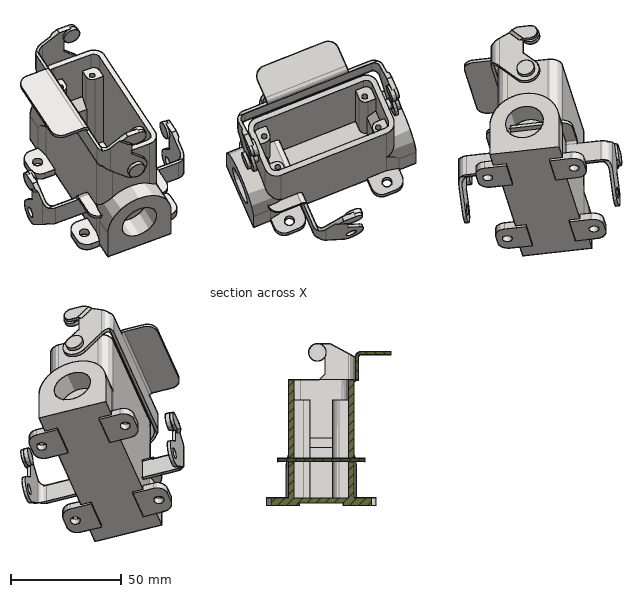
import cadquery as cq
import math

BODY_LENGTH = 63.0
BODY_WIDTH = 29.8
BODY_HEIGHT = 56.0
BODY_CORNER = 5.5
WALL = 2.6
FLOOR = 2.4
CAVITY_CORNER = BODY_CORNER - WALL

ENTRY_REACH = 40.0
ENTRY_RADIUS = 16.0
BORE_DIAMETER = 17.4
BORE_DEPTH = 10.4

POST_TOP = 46.9
POST_FACE_X = 22.0
POST_FACE_Y = 5.1
POST_CORNER = 3.0
SCREW_X = 24.7
SCREW_Y = 8.0
SCREW_DIAMETER = 2.5
SCREW_DEPTH = 8.0

BACKING = 4.4
BACKING_TOP = 29.6

FOOT_SIZE = 15.0
FOOT_TOP = 2.5
FOOT_BOTTOM = -1.1
FOOT_OUTER_Y = 25.0
FOOT_CORNER = 5.0
FOOT_HOLE_X = 24.0
FOOT_HOLE_DIAMETER = 4.5

PIVOT_HEIGHT = 48.4
PIN_DIAMETER = 4.7
PIN_HEAD_DIAMETER = 8.0
PIN_HEAD_INNER = 35.9
PIN_REACH = 37.6

SHEET = 1.5
ARM_OUTER = 35.5
ARM_INNER = ARM_OUTER - SHEET
PIVOT_RADIUS = 6.0
PIVOT_HOLE_DIAMETER = 5.0
BRIDGE_OUTER = 17.0
BRIDGE_INNER = BRIDGE_OUTER - SHEET
BRIDGE_BOTTOM = 7.1
BRIDGE_TOP = 17.8
BRIDGE_BEND = 4.5

CATCH_OUTER = 36.4
CATCH_TOP = 24.0
CATCH_BOTTOM = 17.1
CATCH_END_X = -1.8
CATCH_SLOPE_X = 4.1
NOTCH_X = 1.6
RAMP_START = 9.8
RAMP_END = 11.4
DISC_DIAMETER = 8.0
DISC_INNER = 32.9
DISC_OUTER = 35.0

TAB_WIDTH = 39.8
TAB_REACH = 32.5
TAB_CORNER = 5.0
TAB_BEND = 1.1
TAB_TOP = BRIDGE_TOP + TAB_BEND + SHEET

LEVER_PLACES = [(-90.0, PIVOT_HEIGHT), (0.0, 0.0)]

HALF_LENGTH = BODY_LENGTH / 2
HALF_WIDTH = BODY_WIDTH / 2
CAVITY_X = HALF_LENGTH - WALL
CAVITY_Y = HALF_WIDTH - WALL
DIAGONAL = math.sqrt(0.5)


def block(x_range, y_range, z_range):
    """Box between the given limits on each axis."""
    (x0, x1), (y0, y1), (z0, z1) = x_range, y_range, z_range
    return cq.Workplane("XY").box(x1 - x0, y1 - y0, z1 - z0, centered=False).translate((x0, y0, z0))


def both_ends(feature):
    """The feature at the +X end together with its mirror image at the -X end."""
    return feature.union(feature.mirror("YZ"))


def at_corners(feature):
    """The feature of the +X +Y corner repeated at all four corners."""
    pair = both_ends(feature)
    return pair.union(pair.mirror("XZ"))


def cable_entry():
    """Arched entry at the +X end, its sides narrowing to meet the body walls."""
    arch = (
        cq.Workplane("YZ")
        .moveTo(-ENTRY_RADIUS, 0)
        .lineTo(ENTRY_RADIUS, 0)
        .lineTo(ENTRY_RADIUS, ENTRY_RADIUS)
        .threePointArc((0, 2 * ENTRY_RADIUS), (-ENTRY_RADIUS, ENTRY_RADIUS))
        .close()
        .extrude(ENTRY_REACH)
    )
    narrow_x = HALF_LENGTH - BODY_CORNER
    plan = (
        cq.Workplane("XY")
        .polyline(
            [
                (narrow_x, -HALF_WIDTH),
                (HALF_LENGTH, -ENTRY_RADIUS),
                (ENTRY_REACH, -ENTRY_RADIUS),
                (ENTRY_REACH, ENTRY_RADIUS),
                (HALF_LENGTH, ENTRY_RADIUS),
                (narrow_x, HALF_WIDTH),
            ]
        )
        .close()
        .extrude(2 * ENTRY_RADIUS)
    )
    return arch.intersect(plan)


def entry_bore():
    """Blind bore in the +X entry."""
    return (
        cq.Workplane("YZ", origin=(ENTRY_REACH - BORE_DEPTH, 0, ENTRY_RADIUS))
        .circle(BORE_DIAMETER / 2)
        .extrude(BORE_DEPTH)
    )


def cavity():
    """Rounded hollow of the body, less the posts and backing blocks left standing in it."""
    hollow = (
        cq.Workplane("XY", origin=(0, 0, FLOOR))
        .rect(2 * CAVITY_X, 2 * CAVITY_Y)
        .extrude(BODY_HEIGHT - FLOOR)
        .edges("|Z")
        .fillet(CAVITY_CORNER)
    )
    return hollow.cut(at_corners(screw_post())).cut(both_ends(backing_block()))


def screw_post():
    """Post in the +X +Y corner of the cavity, reaching into the wall around it."""
    return (
        block((POST_FACE_X, CAVITY_X + WALL / 2), (POST_FACE_Y, CAVITY_Y + WALL / 2), (0, POST_TOP))
        .edges("|Z and <X and <Y")
        .fillet(POST_CORNER)
    )


def screw_hole():
    return (
        cq.Workplane("XY", origin=(SCREW_X, SCREW_Y, POST_TOP - SCREW_DEPTH))
        .circle(SCREW_DIAMETER / 2)
        .extrude(SCREW_DEPTH)
    )


def backing_block():
    """Block between the +X posts that closes off the bore, with a 45 degree roof."""
    inner_x = CAVITY_X - BACKING
    return (
        cq.Workplane("XZ")
        .polyline(
            [
                (inner_x, 0),
                (CAVITY_X, 0),
                (CAVITY_X, BACKING_TOP),
                (inner_x, BACKING_TOP - BACKING),
            ]
        )
        .close()
        .extrude(POST_FACE_Y + POST_CORNER, both=True)
    )


def foot():
    """Mounting foot at the +X +Y corner, rounded on its outer side."""
    return (
        block(
            (HALF_LENGTH - FOOT_SIZE, HALF_LENGTH),
            (FOOT_OUTER_Y - FOOT_SIZE, FOOT_OUTER_Y),
            (FOOT_BOTTOM, FOOT_TOP),
        )
        .edges("|Z and >Y")
        .fillet(FOOT_CORNER)
    )


def foot_hole():
    return (
        cq.Workplane("XY", origin=(FOOT_HOLE_X, FOOT_OUTER_Y - FOOT_CORNER, FOOT_BOTTOM))
        .circle(FOOT_HOLE_DIAMETER / 2)
        .extrude(FOOT_TOP - FOOT_BOTTOM)
    )


def pivot_pin():
    """Headed pin standing on the +X end wall."""
    root_x = HALF_LENGTH - WALL / 2
    shank = (
        cq.Workplane("YZ", origin=(root_x, 0, PIVOT_HEIGHT))
        .circle(PIN_DIAMETER / 2)
        .extrude(PIN_REACH - root_x)
    )
    head = (
        cq.Workplane("YZ", origin=(PIN_HEAD_INNER, 0, PIVOT_HEIGHT))
        .circle(PIN_HEAD_DIAMETER / 2)
        .extrude(PIN_REACH - PIN_HEAD_INNER)
    )
    return shank.union(head)


def make_housing():
    body = (
        cq.Workplane("XY")
        .rect(BODY_LENGTH, BODY_WIDTH)
        .extrude(BODY_HEIGHT)
        .edges("|Z")
        .fillet(BODY_CORNER)
    )
    return (
        body.union(both_ends(cable_entry()))
        .union(at_corners(foot()))
        .cut(cavity())
        .cut(both_ends(entry_bore()))
        .cut(at_corners(screw_hole()))
        .cut(at_corners(foot_hole()))
        .union(both_ends(pivot_pin()))
    )


def lever_side_outline():
    """Side outline of the lever: pivot eye, 45 degree shank, bridge edge and hooked catch."""
    tangent = PIVOT_RADIUS * DIAGONAL
    shank_offset = PIVOT_RADIUS / DIAGONAL
    end_radius = (CATCH_TOP - CATCH_BOTTOM) / 2
    bridge_corner_x = BRIDGE_BOTTOM + shank_offset
    return (
        cq.Workplane("XZ")
        .moveTo(tangent, -tangent)
        .lineTo(bridge_corner_x, BRIDGE_BOTTOM)
        .lineTo(BRIDGE_OUTER, BRIDGE_BOTTOM)
        .lineTo(BRIDGE_OUTER, BRIDGE_TOP)
        .lineTo(bridge_corner_x, BRIDGE_TOP)
        .lineTo(CATCH_SLOPE_X, CATCH_TOP)
        .lineTo(CATCH_END_X, CATCH_TOP)
        .threePointArc((CATCH_END_X - end_radius, CATCH_TOP - end_radius), (CATCH_END_X, CATCH_BOTTOM))
        .lineTo(NOTCH_X, CATCH_BOTTOM)
        .lineTo(NOTCH_X, NOTCH_X + shank_offset)
        .lineTo(-tangent, tangent)
        .threePointArc((-tangent, -tangent), (tangent, -tangent))
        .close()
    )


def bent_strip():
    """Two arms and their bridge: a U-shaped strip cut to the side outline."""
    back = -2 * PIVOT_RADIUS
    low, high = -PIVOT_RADIUS, CATCH_TOP
    outside = (
        block((back, BRIDGE_OUTER), (-ARM_OUTER, ARM_OUTER), (low, high))
        .edges("|Z and >X")
        .fillet(BRIDGE_BEND)
    )
    inside = (
        block((back, BRIDGE_INNER), (-ARM_INNER, ARM_INNER), (low, high))
        .edges("|Z and >X")
        .fillet(BRIDGE_BEND - SHEET)
    )
    return outside.cut(inside).intersect(lever_side_outline().extrude(ARM_OUTER, both=True))


def catch_pad():
    """Thickening on the outside of the +Y catch, ramped down to the arm."""
    outline = lever_side_outline().extrude(-CATCH_OUTER)
    across_ramp = cq.Plane(origin=(0, 0, 0), xDir=(-1, 0, 1), normal=(-1, 0, -1))
    far = CATCH_TOP
    ramp = (
        cq.Workplane(across_ramp)
        .polyline(
            [
                (RAMP_START, ARM_INNER),
                (far, ARM_INNER),
                (far, CATCH_OUTER),
                (RAMP_END, CATCH_OUTER),
                (RAMP_START, ARM_OUTER),
            ]
        )
        .close()
        .extrude(2 * far, both=True)
    )
    above_notch = block((-far, far), (0, CATCH_OUTER), (CATCH_BOTTOM, CATCH_TOP))
    return ramp.intersect(outline).intersect(above_notch)


def catch_disc():
    """Round stud on the inside of the +Y catch."""
    radius = DISC_DIAMETER / 2
    return (
        cq.Workplane("XZ", origin=(CATCH_END_X, DISC_INNER, CATCH_TOP - radius))
        .circle(radius)
        .extrude(DISC_INNER - DISC_OUTER)
    )


def finger_tab():
    """Tab bent outward from the top of the bridge, with rounded free corners."""
    outer_bend = TAB_BEND + SHEET
    tab = (
        cq.Workplane("XZ")
        .moveTo(BRIDGE_INNER, BRIDGE_BOTTOM)
        .lineTo(BRIDGE_OUTER, BRIDGE_BOTTOM)
        .lineTo(BRIDGE_OUTER, BRIDGE_TOP)
        .radiusArc((BRIDGE_OUTER + TAB_BEND, TAB_TOP - SHEET), TAB_BEND)
        .lineTo(TAB_REACH, TAB_TOP - SHEET)
        .lineTo(TAB_REACH, TAB_TOP)
        .lineTo(BRIDGE_INNER + outer_bend, TAB_TOP)
        .radiusArc((BRIDGE_INNER, BRIDGE_TOP), -outer_bend)
        .close()
        .extrude(TAB_WIDTH / 2, both=True)
    )
    return tab.edges("|Z and >X").fillet(TAB_CORNER)


def make_lever():
    catch = catch_pad().union(catch_disc())
    pivot_hole = cq.Workplane("XZ").circle(PIVOT_HOLE_DIAMETER / 2).extrude(ARM_OUTER, both=True)
    return (
        bent_strip()
        .union(finger_tab())
        .union(catch)
        .union(catch.mirror("XZ"))
        .cut(pivot_hole)
    )


levers = []
for turn, height in LEVER_PLACES:
    levers.append(make_lever().rotate((0, 0, 0), (0, 0, 1), turn).translate((0, 0, height)))

housing = make_housing()
for lever in levers:
    housing = housing.cut(lever)

lever_solids = [lever.solids().val() for lever in levers]
result = cq.Compound.makeCompound([housing.solids().val(), *lever_solids])